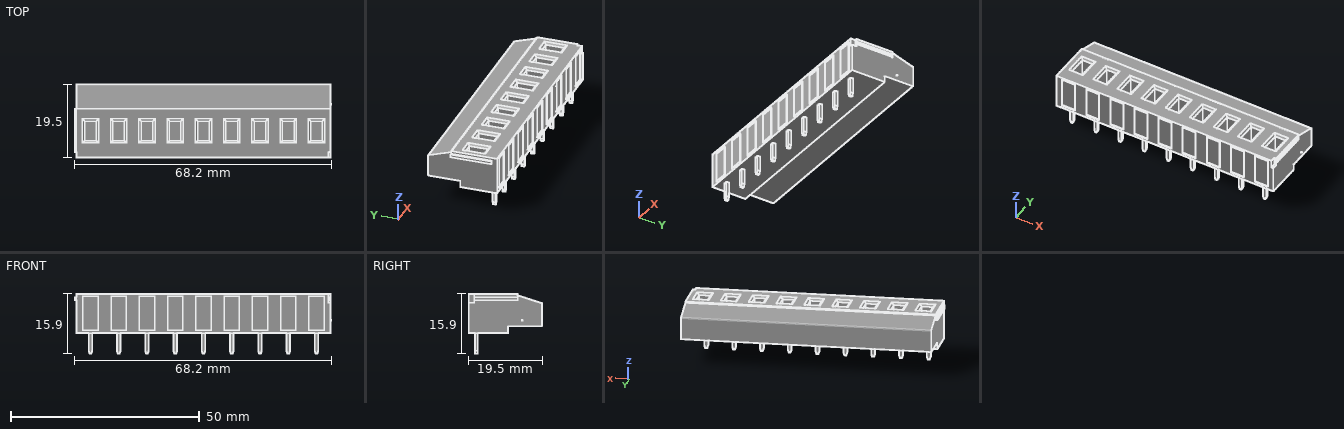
import cadquery as cq

POLES = 9
PITCH = 7.5
BODY_LENGTH = POLES * PITCH
BODY_DEPTH = 19.5
BODY_HEIGHT = 10.4

LIP_DEPTH = 1.4
SHOULDER_Y = 12.95
SHOULDER_DROP = 0.35
BACK_TOP_DROP = 2.45
OVERHANG_Y = 10.4
OVERHANG_Z = 1.85
BACK_EDGE_RADIUS = 0.3

OPENING_WIDTH = 4.3
OPENING_LENGTH = 6.4
OPENING_FRONT_Y = 3.9
MOUTH_INSET = 0.6
MOUTH_DEPTH = 0.6
OPENING_DEPTH = 6.8

PANEL_WIDTH = 4.0
PANEL_BOTTOM_Z = 0.8
PANEL_TOP_MARGIN = 0.6
PANEL_RECESS = 0.3

RIB_OUT = 0.5
GROOVE_DEPTH = 0.4
RIB_TOP_DROP = 0.8
RIB_HEIGHT = 0.8
NOTCH_WIDTH = 0.6
NOTCH_HEIGHT = 2.3

PIP_OUT = 0.2
PIP_RADIUS = 0.15
PIP_Y = 14.15
PIP_Z = 3.4

PIN_WIDTH = 1.0
PIN_THICKNESS = 0.8
PIN_LENGTH = 5.45
PIN_Y = 2.05
PIN_TIP_WIDTH = 0.5
PIN_TIP_LENGTH = 0.8
PIN_ROOT = 0.35

LEFT_X = -BODY_LENGTH / 2
RIGHT_X = BODY_LENGTH / 2
POLE_POSITIONS = [(i - (POLES - 1) / 2) * PITCH for i in range(POLES)]


def block(x, y, z, dx, dy, dz):
    """Box with its lowest corner at (x, y, z)."""
    return cq.Workplane("XY").box(dx, dy, dz, centered=False).translate((x, y, z))


def housing():
    profile = [
        (0, 0),
        (OVERHANG_Y, 0),
        (OVERHANG_Y, OVERHANG_Z),
        (BODY_DEPTH, OVERHANG_Z),
        (BODY_DEPTH, BODY_HEIGHT - BACK_TOP_DROP),
        (SHOULDER_Y, BODY_HEIGHT - SHOULDER_DROP),
        (SHOULDER_Y, BODY_HEIGHT),
        (0, BODY_HEIGHT),
    ]
    body = cq.Workplane("YZ", origin=(LEFT_X, 0, 0)).polyline(profile).close().extrude(BODY_LENGTH)
    return body.faces(">Y").edges("|X").fillet(BACK_EDGE_RADIUS)


def screw_opening(x):
    """Straight shaft below a mouth that narrows on all four sides."""
    inner_width = OPENING_WIDTH - 2 * MOUTH_INSET
    inner_length = OPENING_LENGTH - 2 * MOUTH_INSET
    centre_y = OPENING_FRONT_Y + OPENING_LENGTH / 2
    mouth = (
        cq.Workplane("XY", origin=(x, centre_y, BODY_HEIGHT))
        .rect(OPENING_WIDTH, OPENING_LENGTH)
        .workplane(offset=-MOUTH_DEPTH)
        .rect(inner_width, inner_length)
        .loft(ruled=True)
    )
    shaft = (
        cq.Workplane("XY", origin=(x, centre_y, BODY_HEIGHT - OPENING_DEPTH))
        .rect(inner_width, inner_length)
        .extrude(OPENING_DEPTH)
    )
    return mouth.union(shaft)


def front_panel(x):
    height = BODY_HEIGHT - PANEL_TOP_MARGIN - PANEL_BOTTOM_Z
    return block(x - PANEL_WIDTH / 2, 0, PANEL_BOTTOM_Z, PANEL_WIDTH, PANEL_RECESS, height)


def coupling_bar(x, width):
    """Bar from the lip to the shoulder: the left rib, and the cutter for the right groove."""
    bottom_z = BODY_HEIGHT - RIB_TOP_DROP - RIB_HEIGHT
    return block(x, LIP_DEPTH, bottom_z, width, SHOULDER_Y - LIP_DEPTH, RIB_HEIGHT)


def lip_notch():
    return block(RIGHT_X - NOTCH_WIDTH, 0, BODY_HEIGHT - NOTCH_HEIGHT, NOTCH_WIDTH, LIP_DEPTH, NOTCH_HEIGHT)


def end_pip():
    return cq.Workplane("YZ", origin=(RIGHT_X, PIP_Y, PIP_Z)).circle(PIP_RADIUS).extrude(PIP_OUT)


def solder_pin(x):
    """Flat pin whose tip narrows across its width only."""
    half_width = PIN_WIDTH / 2
    half_tip = PIN_TIP_WIDTH / 2
    taper_z = PIN_TIP_LENGTH - PIN_LENGTH
    outline = [
        (-half_width, PIN_ROOT),
        (half_width, PIN_ROOT),
        (half_width, taper_z),
        (half_tip, -PIN_LENGTH),
        (-half_tip, -PIN_LENGTH),
        (-half_width, taper_z),
    ]
    pin = cq.Workplane("XZ", origin=(x, PIN_Y, 0)).polyline(outline).close()
    return pin.extrude(PIN_THICKNESS / 2, both=True)


result = housing().union(coupling_bar(LEFT_X - RIB_OUT, RIB_OUT)).union(end_pip())
result = result.cut(coupling_bar(RIGHT_X - GROOVE_DEPTH, GROOVE_DEPTH)).cut(lip_notch())
for pole_x in POLE_POSITIONS:
    result = result.cut(screw_opening(pole_x)).cut(front_panel(pole_x)).union(solder_pin(pole_x))